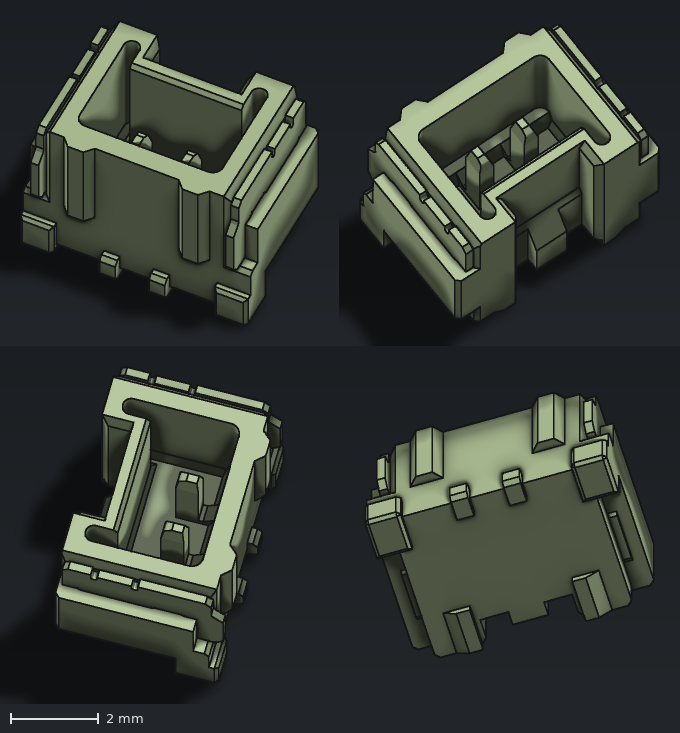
import cadquery as cq


width = 5.75
depth = 3.65
height = 3.905
half_width = width / 2
corner_chamfer = 0.11

tower_half_width = 2.345
tower_bevel_width = 0.15
tower_bevel_drop = 0.24

shelf_height = 1.505
side_wall_height = 2.69
side_wall_front = 0.375
undercut_height = 0.755
undercut_front = 0.795

rib_center = 1.45
rib_root_width = 0.78
rib_tip_width = 0.39
rib_projection = 0.21
rib_bottom = 1.455

floor_height = 0.86
floor_chamfer = 0.15
cavity_half_width = 1.805
cavity_front = 0.505
cavity_corner_radius = 0.255
step_back = 0.77
step_height = floor_height + 0.4
step_foot = 0.915
finger_slot_width = 0.39
finger_slot_end = 3.255
back_wall_half_width = cavity_half_width - finger_slot_width
back_wall_inside = 2.55
back_wall_chamfer = 0.105

back_wall_outside = 2.905
notch_half_width = 1.09
notch_bevel_width = 0.155
notch_bevel_drop = 0.21
notch_bevel_depth = 0.19
latch_half_width = 0.425
latch_end = 3.34
latch_shoulder_end = 3.01
latch_top = 1.725
latch_bottom = 0.98

foot_width = 0.845
foot_drop = 0.21
foot_projection = 0.21
foot_chamfer = 0.085
pad_outer_top = 1.85
pad_outer_bottom = 1.54
pad_inner = 1.22
pad_front = 2.6

pin_pitch = 1.255
pin_width = 0.4
post_front = 1.15
post_back = 1.69
post_top = 2.99
tip_length = 0.345
tip_side_taper = 0.105
tip_front_taper = 0.065
tip_flat_back = 1.465
tip_slope_end = 1.585
tip_slope_drop = 0.05
tip_round_end = 1.65
tip_round_drop = 0.125
toe_back = 1.04
toe_height = step_height - 0.255
tail_reach = 0.25
tail_top = 0.4
tail_back = 0.34
tail_chamfer = 0.115

clip_inner = 2.365
clip_outer = 2.565
clip_back = 3.55
clip_front = 0.035
clip_top = 3.78
clip_chamfer = 0.14
clip_neck_height = 3.16
hook_root_front = -0.02
hook_root_height = 3.08
hook_front = -0.25
hook_top = 2.885
hook_chamfer_start = 1.77
hook_chamfer_end = -0.06
hook_bottom = 1.565
clip_gap = 0.06
clip_underside = side_wall_height + clip_gap
front_leg_back = 0.655
rear_leg_front = 1.45
rear_leg_back = 3.1
leg_corner = 0.085
leg_exit_front = 1.635
leg_exit_back = 2.915
leg_tip_front = 1.7
leg_tip_back = 2.81
leg_tip_height = 0.65
clip_slot_centers = (1.84, 2.8)
clip_slot_width = 0.15
clip_slot_bottom = 3.55
clip_lowered_top = 3.72


def box(x0, x1, y0, y1, z0, z1):
    return cq.Workplane("XY").box(x1 - x0, y1 - y0, z1 - z0, centered=False).translate((x0, y0, z0))


def prism_x(points, x0, x1):
    """Extrude a (Y, Z) outline from x0 to x1."""
    return cq.Workplane("YZ", origin=(x0, 0, 0)).polyline(points).close().extrude(x1 - x0)


def prism_y(points, y0, y1):
    """Extrude an (X, Z) outline from y0 to y1."""
    return cq.Workplane("XZ", origin=(0, y0, 0)).polyline(points).close().extrude(y0 - y1)


def prism_z(points, z0, z1):
    """Extrude an (X, Y) outline from z0 to z1."""
    return cq.Workplane("XY", origin=(0, 0, z0)).polyline(points).close().extrude(z1 - z0)


def both_sides(shape):
    """Join a shape to its mirror image across X = 0."""
    return shape.union(shape.mirror("YZ"))


def make_tower():
    """Tall central block with bevelled vertical corners and side top edges."""
    half = tower_half_width
    bevel_start = half - tower_bevel_width
    c = corner_chamfer
    half_plan = [
        (0, 0), (bevel_start, 0), (half, c), (half, depth - c), (half - c, depth), (0, depth),
    ]
    bevel = [(bevel_start, height), (half, height - tower_bevel_drop), (half, height)]
    return both_sides(prism_z(half_plan, 0, height).cut(prism_y(bevel, 0, depth)))


def make_sides():
    """Low front shelves and side walls, undercut below towards the back."""
    shelf = box(0, half_width, 0, depth, 0, shelf_height)
    shelf = shelf.faces(">Z").edges("<Y").chamfer(corner_chamfer)
    wall = box(0, half_width, side_wall_front, depth, 0, side_wall_height)
    undercut = box(tower_half_width, half_width, undercut_front, depth, 0, undercut_height)
    side = shelf.union(wall).cut(undercut)
    return both_sides(side.edges("|Z and >Y and (not <X)").chamfer(corner_chamfer))


def make_ribs():
    root = rib_root_width / 2
    tip = rib_tip_width / 2
    plan = [
        (rib_center - root, 0),
        (rib_center - tip, -rib_projection),
        (rib_center + tip, -rib_projection),
        (rib_center + root, 0),
    ]
    return both_sides(prism_z(plan, rib_bottom, height))


def make_pads():
    outline = [
        (pad_inner, 0), (pad_outer_top, 0), (pad_outer_bottom, -foot_drop), (pad_inner, -foot_drop),
    ]
    return both_sides(prism_y(outline, pad_front, depth))


def make_finger_slot():
    """Round-ended slot running back beside the rear wall of the cavity."""
    radius = finger_slot_width / 2
    round_center = finger_slot_end - radius
    straight = box(back_wall_half_width, cavity_half_width, step_back, round_center, floor_height, height)
    round_end = (
        cq.Workplane("XY", origin=(cavity_half_width - radius, round_center, floor_height))
        .circle(radius)
        .extrude(height - floor_height)
    )
    return straight.union(round_end)


def make_cavity():
    """Removed volume: a mouth down to the front step and a deeper well with bevelled foot."""
    w = cavity_half_width
    mouth = box(-w, w, cavity_front, back_wall_inside, step_height, height)
    mouth = mouth.edges("|Z and <Y").fillet(cavity_corner_radius)

    well = box(-w, w, step_back, back_wall_inside, floor_height, height)
    well = well.union(both_sides(make_finger_slot())).clean()
    well = well.faces("<Z").edges("not <Y").chamfer(floor_chamfer)
    step_slope = [(step_back, step_height), (step_foot, floor_height), (step_back, floor_height)]
    well = well.cut(prism_x(step_slope, -w, w))

    back_foot = [
        (back_wall_inside, floor_height + floor_chamfer),
        (back_wall_inside, floor_height + back_wall_chamfer),
        (back_wall_inside - back_wall_chamfer, floor_height),
        (back_wall_inside - floor_chamfer, floor_height),
    ]
    foot_reach = back_wall_half_width + floor_chamfer
    well = well.union(prism_x(back_foot, -foot_reach, foot_reach))

    back_lip = [
        (back_wall_inside, height - back_wall_chamfer),
        (back_wall_inside + back_wall_chamfer, height),
        (back_wall_inside, height),
    ]
    lip = prism_x(back_lip, -back_wall_half_width, back_wall_half_width)
    return mouth.union(well).union(lip)


def make_notch():
    """Removed volume behind the back wall, with bevelled top and rear edges."""
    inner = notch_half_width
    outer = inner + notch_bevel_width
    notch = box(-inner, inner, back_wall_outside, depth, -foot_drop, height)
    top_bevel = [(inner, height - notch_bevel_drop), (outer, height), (inner, height)]
    rear_bevel = [(inner, depth - notch_bevel_depth), (outer, depth), (inner, depth)]
    bevels = prism_y(top_bevel, back_wall_outside, depth).union(prism_z(rear_bevel, -foot_drop, height))
    return notch.union(both_sides(bevels))


def make_latch():
    """Sloped tongue behind the back wall, with a short shoulder on each side."""
    slope = [
        (back_wall_outside, latch_top), (latch_end, latch_bottom), (latch_end, 0), (back_wall_outside, 0),
    ]
    shoulders = prism_x(slope, -notch_half_width, notch_half_width)
    shoulders = shoulders.cut(
        box(-notch_half_width, notch_half_width, latch_shoulder_end, latch_end, 0, latch_top)
    )
    return shoulders.union(prism_x(slope, -latch_half_width, latch_half_width))


def make_feet():
    foot = box(
        half_width - foot_width, half_width, -foot_projection, undercut_front, -foot_drop, undercut_height
    )
    return both_sides(foot.faces("<Y or <Z").edges().chamfer(foot_chamfer))


def make_post():
    """Upright contact blade whose tip tapers on all sides and is rounded at the back."""
    w = pin_width / 2
    shoulder = post_top - tip_length
    side = [(w, shoulder), (w - tip_side_taper, post_top), (w, post_top)]
    front = [(post_front, shoulder), (post_front + tip_front_taper, post_top), (post_front, post_top)]
    back = (
        cq.Workplane("YZ", origin=(-w, 0, 0))
        .moveTo(post_back, shoulder)
        .lineTo(tip_round_end, post_top - tip_round_drop)
        .tangentArcPoint((tip_slope_end, post_top - tip_slope_drop), relative=False)
        .lineTo(tip_flat_back, post_top)
        .lineTo(post_back, post_top)
        .close()
        .extrude(pin_width)
    )
    post = box(-w, w, post_front, post_back, 0, post_top)
    post = post.cut(both_sides(prism_y(side, post_front, post_back)))
    return post.cut(prism_x(front, -w, w)).cut(back)


def make_pin():
    """One contact centred on X = 0: post, sloped toe and solder tail."""
    w = pin_width / 2
    toe = [
        (step_back, 0), (step_back, step_height), (toe_back, toe_height),
        (post_front, toe_height), (post_front, 0),
    ]
    tail = box(-w, w, -tail_reach, tail_back, -tail_reach, tail_top)
    tail = tail.edges("|X and <Y").chamfer(tail_chamfer)
    return make_post().union(prism_x(toe, -w, w)).union(tail)


def make_clip_slot(center):
    """Removed volume: vertical slot with a round bottom, open at the top edge of the clip."""
    radius = clip_slot_width / 2
    round_height = clip_slot_bottom + radius
    straight = box(clip_inner, clip_outer, center - radius, center + radius, round_height, clip_top)
    bottom = (
        cq.Workplane("YZ", origin=(clip_inner, 0, 0))
        .center(center, round_height)
        .circle(radius)
        .extrude(clip_outer - clip_inner)
    )
    return straight.union(bottom)


def make_clips():
    """Upright plates between tower and side walls, hooked forward at the front."""
    outline = [
        (clip_back, clip_top - clip_chamfer),
        (clip_back - clip_chamfer, clip_top),
        (clip_front + clip_chamfer, clip_top),
        (clip_front, clip_top - clip_chamfer),
        (clip_front, clip_neck_height),
        (hook_root_front, hook_root_height),
        (hook_front, hook_top),
        (hook_front, hook_chamfer_start),
        (hook_chamfer_end, hook_bottom),
        (front_leg_back, hook_bottom),
        (front_leg_back, side_wall_height),
        (front_leg_back + leg_corner, clip_underside),
        (rear_leg_front - leg_corner, clip_underside),
        (rear_leg_front, side_wall_height),
        (leg_exit_front, undercut_height),
        (leg_tip_front, leg_tip_height),
        (leg_tip_back, leg_tip_height),
        (leg_exit_back, undercut_height),
        (rear_leg_back, side_wall_height),
        (rear_leg_back + leg_corner, clip_underside),
        (clip_back, clip_underside),
    ]
    clip = prism_x(outline, clip_inner, clip_outer)
    first_slot, last_slot = clip_slot_centers
    clip = clip.cut(box(clip_inner, clip_outer, first_slot, last_slot, clip_lowered_top, clip_top))
    for center in clip_slot_centers:
        clip = clip.cut(make_clip_slot(center))
    return both_sides(clip)


housing = make_tower().union(make_sides()).union(make_ribs()).union(make_pads())
housing = housing.cut(make_cavity()).cut(make_notch())
housing = housing.union(make_latch()).union(make_feet())

result = housing.union(make_clips())
for pin_x in (-pin_pitch / 2, pin_pitch / 2):
    result = result.union(make_pin().translate((pin_x, 0, 0)))